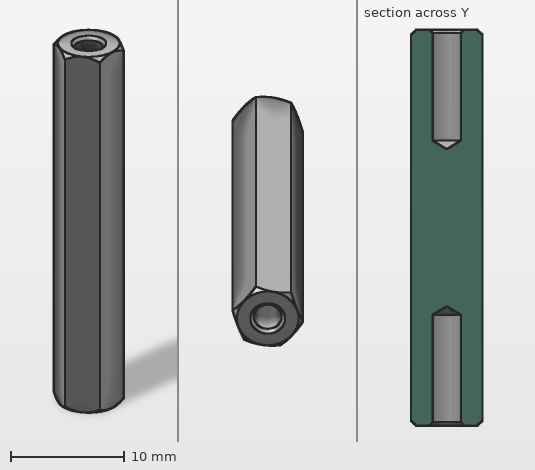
import cadquery as cq
import math

length = 35.0
across_flats = 5.5
across_corners = across_flats / math.cos(math.radians(30))

end_face_diameter = 5.45
corner_chamfer_height = (across_corners - end_face_diameter) / 2

hole_diameter = 2.45
mouth_diameter = 3.08
hole_depth = 9.8
drill_point_angle = 118.0

half_length = length / 2


def chamfered_envelope():
    """Turned blank whose conical ends cut back the hexagon corners."""
    corner_radius = across_corners / 2
    end_radius = end_face_diameter / 2
    shoulder_z = half_length - corner_chamfer_height
    return (
        cq.Workplane("XZ")
        .moveTo(0, -half_length)
        .lineTo(end_radius, -half_length)
        .lineTo(corner_radius, -shoulder_z)
        .lineTo(corner_radius, shoulder_z)
        .lineTo(end_radius, half_length)
        .lineTo(0, half_length)
        .close()
        .revolve(360, (0, 0, 0), (0, 1, 0))
    )


def top_hole():
    """Solid of the hole in the top end: 45 degree mouth, bore and drill point."""
    hole_radius = hole_diameter / 2
    mouth_radius = mouth_diameter / 2
    countersink_depth = mouth_radius - hole_radius
    bore_bottom_z = half_length - hole_depth
    point_height = hole_radius / math.tan(math.radians(drill_point_angle / 2))
    return (
        cq.Workplane("XZ")
        .moveTo(0, half_length)
        .lineTo(mouth_radius, half_length)
        .lineTo(hole_radius, half_length - countersink_depth)
        .lineTo(hole_radius, bore_bottom_z)
        .lineTo(0, bore_bottom_z - point_height)
        .close()
        .revolve(360, (0, 0, 0), (0, 1, 0))
    )


hexagon_bar = (
    cq.Workplane("XY")
    .workplane(offset=-half_length)
    .polygon(6, across_corners)
    .extrude(length)
)
body = hexagon_bar.intersect(chamfered_envelope())

upper_hole = top_hole()
lower_hole = upper_hole.mirror("XY")
result = body.cut(upper_hole).cut(lower_hole)